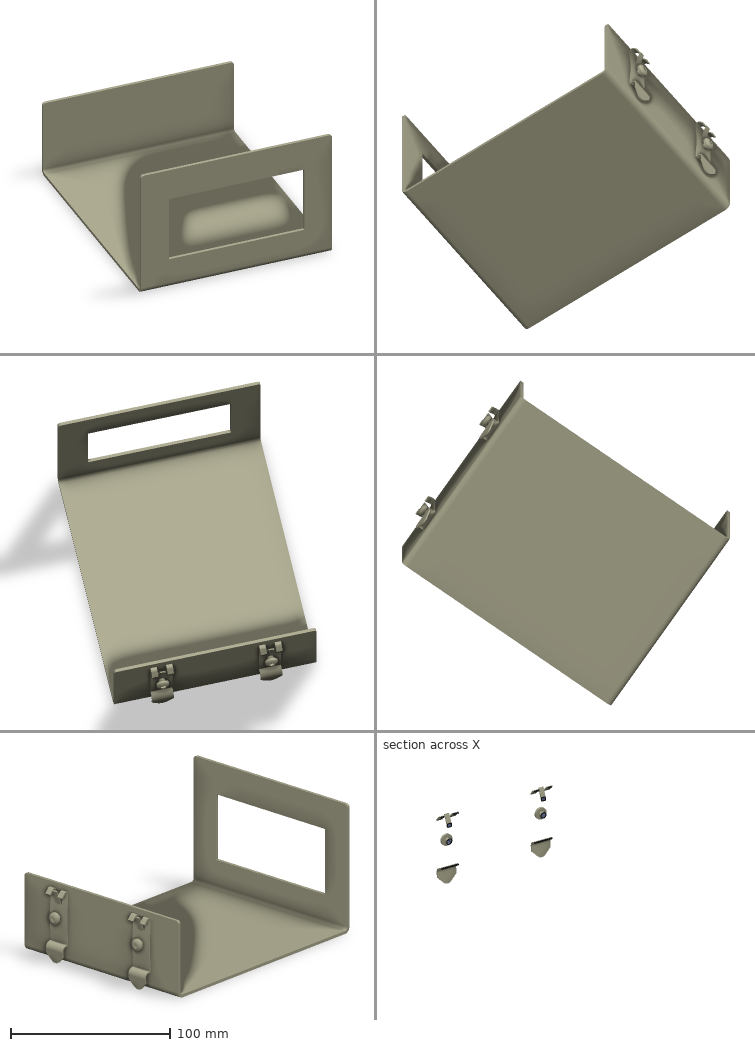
import cadquery as cq
import math


tray_length = 160.0
tray_width = 130.0
high_wall_height = 86.0
low_wall_height = 52.0
sheet = 2.0
bend_inner_radius = 2.0
bend_outer_radius = bend_inner_radius + sheet
corner_radius = 2.0

window_width = 92.0
window_height = 44.0
window_bottom = (high_wall_height - window_height) / 2

clip_offset = 35.0
screw_height = 30.0

strip = 0.8
strip_width = 14.0
clip_cut_reach = 8.4
wall_contact = -strip / 2

ear_top = 48.5
ear_bend_radius = 1.7
ear_slope = math.radians(50)
ear_tip_x = -5.7

bow_bottom = 12.0
bow_top = ear_top - ear_bend_radius
bow_rise = 1.0
bow_chord = bow_top - bow_bottom
bow_radius = (bow_chord**2 / 4 + bow_rise**2) / (2 * bow_rise)
bow_middle = (bow_bottom + bow_top) / 2

hook_height = bow_bottom + strip / 2
hook_reach = 5.2
hook_bend_radius = 3.5
hook_tip_x = -4.0
hook_shoulder = 5.3
hook_tip_radius = 4.0

slot_width = 6.0
slot_bottom = 38.8
tongue_width = 3.3
tongue_middle = (-3.0, 44.5)
tongue_tip = (-4.8, 48.5)

shank_diameter = 4.0
neck_diameter = 3.2
head_diameter = 8.0
end_face_diameter = 4.0
head_tip = -7.2
head_rim = -5.8
head_underside = -4.3
dome_bulge = 0.2
neck_end = -3.5
shank_chamfer = (shank_diameter - neck_diameter) / 2
recess_length = 3.3
recess_arm = 1.7
recess_depth = 1.3


def make_wall(x, height):
    """Wall standing at x, with its two upper corners rounded."""
    wall = cq.Workplane("XY").box(sheet, tray_width, height, centered=(False, True, False))
    return wall.edges("|X and >Z").fillet(corner_radius).translate((x, 0, 0))


def make_tray():
    floor = cq.Workplane("XY").box(tray_length, tray_width, bend_outer_radius, centered=(False, True, False))
    tray = (
        floor.union(make_wall(0, low_wall_height))
        .union(make_wall(tray_length - sheet, high_wall_height))
        .edges("|Y and <Z")
        .fillet(bend_outer_radius)
    )
    hollow = (
        cq.Workplane("XY")
        .box(tray_length - 2 * sheet, tray_width, high_wall_height, centered=(False, True, False))
        .edges("|Y and <Z")
        .fillet(bend_inner_radius)
        .translate((sheet, 0, sheet))
    )
    window = cq.Workplane("XY").box(2 * sheet, window_width, window_height, centered=(True, True, False))
    tray = tray.cut(hollow).cut(window.translate((tray_length, 0, window_bottom)))
    for y in (-clip_offset, clip_offset):
        tray = tray.cut(screw_bore(y))
    return tray


def screw_bore(y):
    """Bar as wide as the screw shank, for the holes in the low wall and the clip."""
    bore = cq.Workplane("YZ").circle(shank_diameter / 2).extrude(sheet - head_underside)
    return bore.translate((head_underside, y, screw_height))


def ribbon(path, width):
    """Sweeps the strip's cross-section along a path that lies in the XZ plane."""
    wire = path.wire().val()
    plane = cq.Plane(wire.startPoint(), xDir=(0, 1, 0), normal=wire.tangentAt(0))
    return cq.Workplane(plane).rect(width, strip).sweep(cq.Workplane(wire), transition="right")


def bow_x(z):
    """Middle of the bowed strip's thickness at height z."""
    centre = wall_contact - bow_rise + bow_radius
    return centre - math.sqrt(bow_radius**2 - (z - bow_middle) ** 2)


def make_bow():
    path = (
        cq.Workplane("XZ")
        .moveTo(wall_contact, bow_bottom)
        .threePointArc((bow_x(bow_middle), bow_middle), (wall_contact, bow_top))
    )
    return ribbon(path, strip_width)


def make_hook():
    bend_x = hook_bend_radius - hook_reach
    bend_z = hook_height - hook_bend_radius
    path = (
        cq.Workplane("XZ")
        .moveTo(wall_contact, hook_height)
        .lineTo(bend_x, hook_height)
        .tangentArcPoint((-hook_reach, bend_z), relative=False)
        .lineTo(hook_tip_x, 0)
    )
    tangent_y = hook_tip_radius * math.sin(math.pi / 4)
    tangent_z = hook_tip_radius - tangent_y
    half = strip_width / 2
    tip_outline = (
        cq.Workplane("YZ")
        .moveTo(-half, bow_top)
        .lineTo(-half, hook_shoulder)
        .lineTo(-tangent_y, tangent_z)
        .threePointArc((0, 0), (tangent_y, tangent_z))
        .lineTo(half, hook_shoulder)
        .lineTo(half, bow_top)
        .close()
        .extrude(clip_cut_reach, both=True)
    )
    return ribbon(path, strip_width).intersect(tip_outline)


def make_ear_strip():
    centre_x = wall_contact - ear_bend_radius
    slope_x = centre_x - ear_bend_radius * math.sin(ear_slope)
    slope_z = bow_top + ear_bend_radius * math.cos(ear_slope)
    tip_z = slope_z - (slope_x - ear_tip_x) * math.tan(ear_slope)
    path = (
        cq.Workplane("XZ")
        .moveTo(wall_contact, bow_top)
        .threePointArc((centre_x, ear_top), (slope_x, slope_z))
        .lineTo(ear_tip_x, tip_z)
    )
    return ribbon(path, strip_width)


def make_tongue():
    root = (bow_x(slot_bottom), slot_bottom)
    path = cq.Workplane("XZ").moveTo(*root).threePointArc(tongue_middle, tongue_tip)
    return ribbon(path, tongue_width)


def make_clip(y):
    slot = cq.Workplane("XY").box(2 * clip_cut_reach, slot_width, ear_top, centered=(True, True, False))
    slot = slot.translate((0, 0, slot_bottom))
    clip = make_bow().union(make_ear_strip()).cut(slot).union(make_hook()).union(make_tongue())
    return clip.translate((0, y, 0)).cut(screw_bore(y))


def make_screw(y):
    head_radius = head_diameter / 2
    shank_radius = shank_diameter / 2
    end_radius = end_face_diameter / 2
    dome_middle = ((head_tip + head_rim) / 2 - dome_bulge, (end_radius + head_radius) / 2 + dome_bulge)
    screw = (
        cq.Workplane("XY")
        .moveTo(head_tip, 0)
        .lineTo(head_tip, end_radius)
        .threePointArc(dome_middle, (head_rim, head_radius))
        .lineTo(head_underside, head_radius)
        .lineTo(head_underside, neck_diameter / 2)
        .lineTo(neck_end, neck_diameter / 2)
        .lineTo(neck_end + shank_chamfer, shank_radius)
        .lineTo(sheet, shank_radius)
        .lineTo(sheet, 0)
        .close()
        .revolve(360, (0, 0, 0), (1, 0, 0))
    )
    arm = cq.Workplane("YZ").rect(recess_length, recess_arm).extrude(recess_depth).translate((head_tip, 0, 0))
    recess = arm.union(arm.rotate((0, 0, 0), (1, 0, 0), 90))
    return screw.cut(recess).translate((0, y, screw_height))


tray = make_tray()
clips = [make_clip(y).val() for y in (-clip_offset, clip_offset)]
screws = [make_screw(y).val() for y in (-clip_offset, clip_offset)]

result = cq.Compound.makeCompound([tray.val(), *clips, *screws])